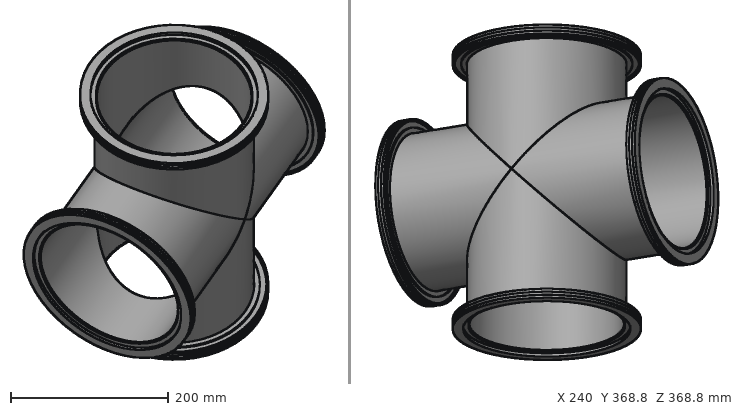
import cadquery as cq
import math

OVERALL_LENGTH = 368.8
HALF_LENGTH = OVERALL_LENGTH / 2

TUBE_OUTER_DIAMETER = 203.2
TUBE_BORE_DIAMETER = 197.0

FLANGE_DIAMETER = 240.0
FLANGE_THICKNESS = 12.0
FLANGE_BORE_DIAMETER = 200.0
RIM_GROOVE_DEPTH = 2.5
RIM_GROOVE_WIDTH = 4.0
SEAL_RECESS_DIAMETER = 213.0
SEAL_RECESS_DEPTH = 4.5
SOCKET_DIAMETER = 204.0
SOCKET_DEPTH = 6.0
HUB_DIAMETER = 218.5
BACK_RECESS_DIAMETER = 235.0
BACK_RECESS_DEPTH = 2.0

FLANGE_BACK = HALF_LENGTH - FLANGE_THICKNESS
TUBE_END = FLANGE_BACK + SOCKET_DEPTH
RIM_GROOVE_MIDDLE = HALF_LENGTH - FLANGE_THICKNESS / 2

BRANCH_COUNT = 4
BRANCH_ANGLES = [index * 360 / BRANCH_COUNT for index in range(BRANCH_COUNT)]


def disc(diameter, start, height):
    """Round disc on the Z axis, rising from the given height."""
    return cq.Workplane("XY").workplane(offset=start).circle(diameter / 2).extrude(height)


def make_tube():
    """Upward tube with its inner end mitred to meet its two neighbours."""
    tube = disc(TUBE_OUTER_DIAMETER, 0, TUBE_END).cut(disc(TUBE_BORE_DIAMETER, 0, TUBE_END))
    half_width = TUBE_END * math.tan(math.pi / BRANCH_COUNT)
    miter_wedge = (
        cq.Workplane("YZ")
        .polyline([(0, 0), (half_width, TUBE_END), (-half_width, TUBE_END)])
        .close()
        .extrude(TUBE_OUTER_DIAMETER, both=True)
    )
    return tube.intersect(miter_wedge)


def make_rim_groove():
    """Ring with a rounded inner side, which cuts the groove around the flange rim."""
    rim_radius = FLANGE_DIAMETER / 2
    lower_edge = (rim_radius, RIM_GROOVE_MIDDLE - RIM_GROOVE_WIDTH / 2)
    upper_edge = (rim_radius, RIM_GROOVE_MIDDLE + RIM_GROOVE_WIDTH / 2)
    deepest_point = (rim_radius - RIM_GROOVE_DEPTH, RIM_GROOVE_MIDDLE)
    return (
        cq.Workplane("XZ")
        .moveTo(*lower_edge)
        .threePointArc(deepest_point, upper_edge)
        .close()
        .revolve(360, (0, 0, 0), (0, 1, 0))
    )


def make_flange():
    """Upper flange with a grooved rim, a seal recess and a socket for the tube."""
    flange = disc(FLANGE_DIAMETER, FLANGE_BACK, FLANGE_THICKNESS)
    flange = flange.cut(disc(FLANGE_BORE_DIAMETER, FLANGE_BACK, FLANGE_THICKNESS))

    flange = flange.cut(disc(SEAL_RECESS_DIAMETER, HALF_LENGTH - SEAL_RECESS_DEPTH, SEAL_RECESS_DEPTH))

    flange = flange.cut(disc(SOCKET_DIAMETER, FLANGE_BACK, SOCKET_DEPTH))

    back_recess = disc(BACK_RECESS_DIAMETER, FLANGE_BACK, BACK_RECESS_DEPTH)
    back_recess = back_recess.cut(disc(HUB_DIAMETER, FLANGE_BACK, BACK_RECESS_DEPTH))
    flange = flange.cut(back_recess)

    return flange.cut(make_rim_groove())


def around_cross(body, angle):
    """Turn an upward body about the X axis onto its branch."""
    return body.rotate((0, 0, 0), (1, 0, 0), angle)


tubes = [around_cross(make_tube(), angle) for angle in BRANCH_ANGLES]
flanges = [around_cross(make_flange(), angle) for angle in BRANCH_ANGLES]

result = cq.Compound.makeCompound([body.val() for body in tubes + flanges])